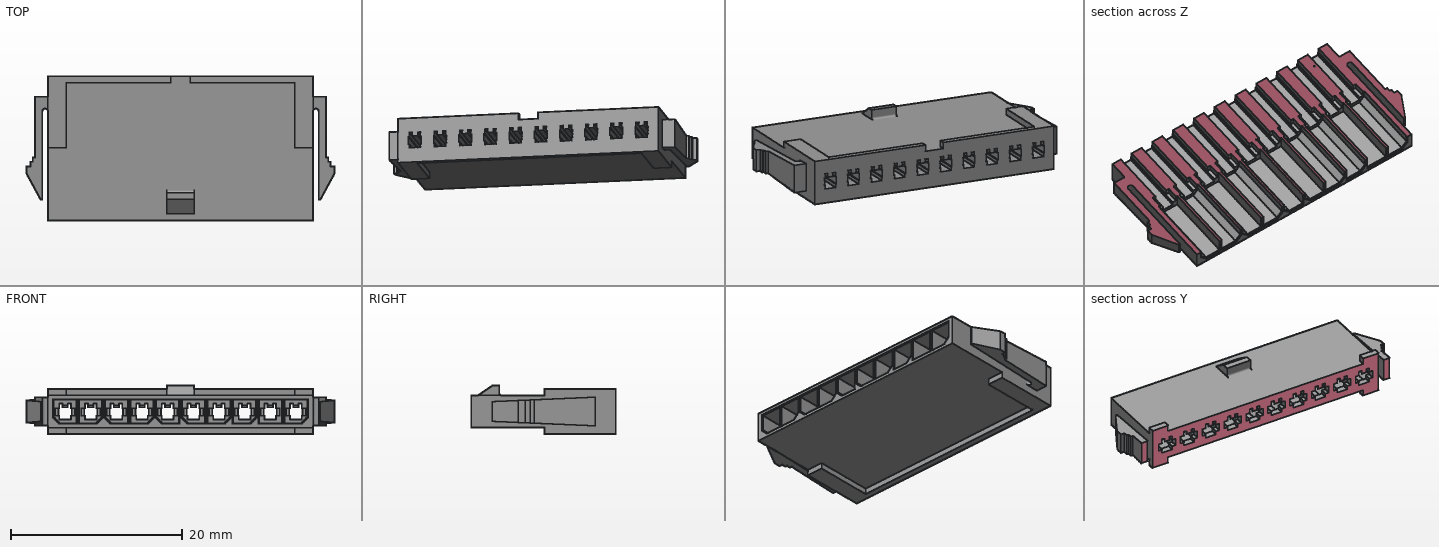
import cadquery as cq
import math

overall_width = 36.05
overall_height = 5.7

body_width = 31.0
body_depth = 16.9
body_height = 3.8
front_y = -body_depth / 2
back_y = body_depth / 2
top_z = body_height / 2

rim_height = 0.75
rim_length = 8.35
rim_side_width = 2.15
rim_back_width = 0.8
rim_gap_width = 2.3

mouth_width = 2.85
wall_between_mouths = 0.15
cavity_pitch = mouth_width + wall_between_mouths
mouth_height = 2.92
mouth_chamfer = 0.1
mouth_corner_cut = 0.75
cavity_depth = body_depth - rim_length
corner_keys = (-1, 1, -1, 1, -1, -1, 1, 1, 0, 1)
cavity_count = len(corner_keys)

opening_width = 1.35
opening_height = 1.85
side_slot_width = 1.5
side_slot_height = 0.85
side_slot_z = -0.055
side_recess_width = 2.27
side_recess_depth = 1.45
tab_width = 0.65
tab_height = 0.45
tab_step_height = 0.2
tab_step_depth = 0.72

latch_width = 3.2
latch_height = overall_height - body_height - rim_height
latch_toe = 0.8
latch_crest = 2.5
latch_heel = 3.28
latch_fillet = 0.25

arm_reach = (overall_width - body_width) / 2
arm_gap = 0.65
arm_outer = 1.5
arm_tip_outer = 0.85
arm_start = 2.4
arm_gap_start = 3.82
arm_end = 14.45
barb_steps = ((1.8, 9.5), (2.05, 10.02), (arm_reach, 10.55))
barb_ramp_start = 11.4
arm_root_height = 3.35
arm_tip_height = 2.3


def make_block(width, depth, height, start_y, center_z=0.0):
    """Box that starts at start_y and runs back along +Y, centred on X = 0."""
    center = (0, start_y + depth / 2, center_z)
    return cq.Workplane("XY").box(width, depth, height).translate(center)


def make_rim():
    """U-shaped rim standing on the top face, open towards the front."""
    rim = cq.Workplane("XY").workplane(offset=top_z).center(0, back_y - rim_length / 2)
    rim = rim.rect(body_width, rim_length).extrude(rim_height)
    inside_length = rim_length - rim_back_width
    inside = make_block(
        body_width - 2 * rim_side_width, inside_length, rim_height,
        back_y - rim_length, center_z=top_z + rim_height / 2,
    )
    return rim.cut(inside)


def make_rim_gap():
    """Space of the gap in the middle of the top rim's back strip."""
    return make_block(
        rim_gap_width, rim_back_width, rim_height,
        back_y - rim_back_width, center_z=top_z + rim_height / 2,
    )


def make_latch():
    """Wedge with a vertical rear face that meets the body in a small fillet."""
    crest_z = top_z + latch_height
    heel_y = front_y + latch_heel
    fillet_center_y = heel_y + latch_fillet
    fillet_center_z = top_z + latch_fillet
    fillet_mid = latch_fillet * math.sqrt(0.5)
    profile = (
        cq.Workplane("YZ", origin=(-latch_width / 2, 0, 0))
        .moveTo(front_y + latch_toe, top_z)
        .lineTo(front_y + latch_crest, crest_z)
        .lineTo(heel_y, crest_z)
        .lineTo(heel_y, fillet_center_z)
        .threePointArc(
            (fillet_center_y - fillet_mid, fillet_center_z - fillet_mid),
            (fillet_center_y, top_z),
        )
        .close()
    )
    return profile.extrude(latch_width)


def make_arm():
    """Barbed arm on the +X side, tapering in height from its root to its tip."""
    side_x = body_width / 2
    gap_radius = arm_gap / 2
    straight_gap_y = back_y - arm_gap_start - gap_radius

    arm = cq.Workplane("XY", origin=(0, 0, -arm_root_height / 2))
    arm = arm.moveTo(side_x, back_y - arm_start)
    arm = arm.lineTo(side_x + arm_outer, back_y - arm_start)
    previous_x = arm_outer
    for step_x, step_y in barb_steps:
        arm = arm.lineTo(side_x + previous_x, back_y - step_y)
        arm = arm.lineTo(side_x + step_x, back_y - step_y)
        previous_x = step_x
    arm = (
        arm.lineTo(side_x + arm_reach, back_y - barb_ramp_start)
        .lineTo(side_x + arm_tip_outer, back_y - arm_end)
        .lineTo(side_x + arm_gap, back_y - arm_end)
        .lineTo(side_x + arm_gap, straight_gap_y)
        .threePointArc(
            (side_x + gap_radius, back_y - arm_gap_start), (side_x, straight_gap_y)
        )
        .close()
        .extrude(arm_root_height)
    )

    taper = (
        cq.Workplane("YZ", origin=(side_x, 0, 0))
        .moveTo(back_y - arm_start, arm_root_height / 2)
        .lineTo(back_y - arm_end, arm_tip_height / 2)
        .lineTo(back_y - arm_end, -arm_tip_height / 2)
        .lineTo(back_y - arm_start, -arm_root_height / 2)
        .close()
        .extrude(arm_reach)
    )
    return arm.intersect(taper)


def cavity_outline(plane, inset, key):
    """Cavity cross-section, inset from the mouth, with one bottom corner cut."""
    half_width = mouth_width / 2 - inset
    half_height = mouth_height / 2 - inset
    corner_cut = mouth_corner_cut - inset * (2 - math.sqrt(2))
    if key == 0:
        return plane.rect(2 * half_width, 2 * half_height)
    points = (
        (key * half_width, half_height),
        (key * half_width, corner_cut - half_height),
        (key * (half_width - corner_cut), -half_height),
        (-key * half_width, -half_height),
        (-key * half_width, half_height),
    )
    return plane.polyline(points).close()


def make_cavity(key):
    """Solid of the space in one cavity, at X = 0, including the opening behind it."""
    front = cq.Workplane("XZ", origin=(0, front_y, 0))
    cavity = cavity_outline(front, mouth_chamfer, key).extrude(-cavity_depth)

    mouth = cavity_outline(front, 0, key).workplane(offset=-mouth_chamfer)
    cavity = cavity.union(cavity_outline(mouth, mouth_chamfer, key).loft(ruled=True))

    floor_y = front_y + cavity_depth
    wall = back_y - floor_y
    tab_z = opening_height / 2 - tab_height / 2
    tab = make_block(tab_width, wall, tab_height, floor_y, center_z=tab_z)
    tab_step = make_block(
        tab_width, tab_step_depth, tab_step_height, floor_y,
        center_z=opening_height / 2 - tab_height + tab_step_height / 2,
    )
    opening = make_block(opening_width, wall, opening_height, floor_y).cut(tab)
    side_slot = make_block(
        side_slot_width, wall, side_slot_height, floor_y, center_z=side_slot_z
    )
    side_recess = make_block(
        side_recess_width, side_recess_depth, side_slot_height, floor_y, center_z=side_slot_z
    )
    return cavity.union(opening).union(tab_step).union(side_slot).union(side_recess)


top_rim = make_rim()
bottom_rim = top_rim.mirror("XY")
right_arm = make_arm()
left_arm = right_arm.mirror("YZ")

result = make_block(body_width, body_depth, body_height, front_y)
result = result.union(top_rim.cut(make_rim_gap())).union(bottom_rim)
result = result.union(make_latch()).union(right_arm).union(left_arm)

for index, corner_key in enumerate(corner_keys):
    cavity_x = (index - (cavity_count - 1) / 2) * cavity_pitch
    result = result.cut(make_cavity(corner_key).translate((cavity_x, 0, 0)))